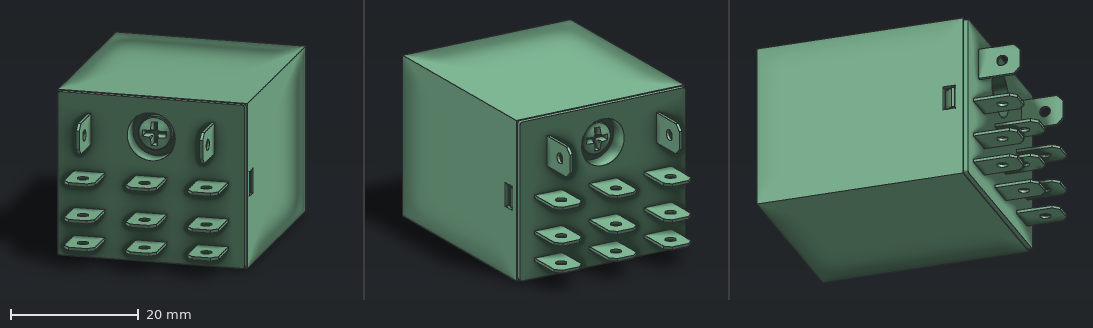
import cadquery as cq
import math


total_length = 41.9
cover_width = 30.8
cover_height = 26.8
blade_length = 6.9
flange_thickness = 0.75
flange_side_inset = 0.25
flange_top_inset = 0.13
flange_corner_radius = 0.4
cover_back = total_length - blade_length

blade_width = 5.03
blade_thickness = 0.5
blade_chamfer = 1.0
blade_hole_diameter = 1.7
blade_hole_from_tip = 3.0
blade_root = 0.4
column_spacing = 10.0
flat_row_heights = (0.38, -5.6, -10.15)
upright_blade_height = 7.6

screw_height = 7.05
recess_diameter = 7.8
recess_depth = 3.2
head_diameter = 5.5
head_rim_depth = 2.18
head_bevel = 0.15
dome_rise = 0.63
cross_length = 4.0
cross_width = 1.1
cross_floor_length = 3.35
cross_depth = 1.45
cross_corner_bevel = 0.25

window_start = 2.05
window_length = 2.05
window_height = 3.95
window_depth = 1.0
catch_height = 3.3
catch_gap = 0.13
catch_flat = 0.55
catch_below_surface = 0.1


def make_housing():
    cover = cq.Workplane("XY").box(cover_width, cover_back - flange_thickness, cover_height)
    cover = cover.translate((0, (cover_back + flange_thickness) / 2, 0))
    flange = (
        cq.Workplane("XY")
        .box(
            cover_width - 2 * flange_side_inset,
            flange_thickness,
            cover_height - 2 * flange_top_inset,
        )
        .edges("|Y")
        .fillet(flange_corner_radius)
        .translate((0, flange_thickness / 2, 0))
    )
    return cover.union(flange)


def make_blade():
    """Horizontal blade centred on the Y axis, with its root inside the base."""
    half_width = blade_width / 2
    tip_half_width = half_width - blade_chamfer
    shoulder = blade_chamfer - blade_length
    outline = [
        (-half_width, blade_root),
        (-half_width, shoulder),
        (-tip_half_width, -blade_length),
        (tip_half_width, -blade_length),
        (half_width, shoulder),
        (half_width, blade_root),
    ]
    blade = cq.Workplane("XY").polyline(outline).close().extrude(blade_thickness / 2, both=True)
    hole = (
        cq.Workplane("XY")
        .center(0, blade_hole_from_tip - blade_length)
        .circle(blade_hole_diameter / 2)
        .extrude(blade_thickness, both=True)
    )
    return blade.cut(hole)


def make_recess():
    recess = cq.Workplane("XZ").circle(recess_diameter / 2).extrude(-recess_depth)
    return recess.translate((0, 0, screw_height))


def taper_angle(mouth_size, floor_size):
    """Wall taper, in degrees, that narrows a slot of the cross depth from mouth to floor."""
    return math.degrees(math.atan((mouth_size - floor_size) / 2 / cross_depth))


def make_cross_slot():
    """Tapered cross with its mouth at Y = 0, and bevels that fade out at the floor."""
    cross = (
        cq.Workplane("XZ")
        .sketch()
        .rect(cross_length, cross_width)
        .rect(cross_width, cross_length)
        .clean()
        .finalize()
        .extrude(-cross_depth, taper=taper_angle(cross_length, cross_floor_length))
    )
    cross_floor_width = cross_width - (cross_length - cross_floor_length)
    square_size = math.sqrt(2) * (cross_width + cross_corner_bevel)
    square_floor_size = math.sqrt(2) * cross_floor_width
    bevels = (
        cq.Workplane("XZ")
        .rect(square_size, square_size)
        .extrude(-cross_depth, taper=taper_angle(square_size, square_floor_size))
        .rotate((0, 0, 0), (0, 1, 0), 45)
    )
    return cross.union(bevels)


def make_screw():
    """Domed screw head standing on the recess floor, with a tapered cross slot."""
    radius = head_diameter / 2
    dome_radius = radius - head_bevel
    bevel_top = head_rim_depth - head_bevel
    dome_top = bevel_top - dome_rise
    sphere_radius = (dome_radius**2 + dome_rise**2) / (2 * dome_rise)
    half_angle = math.asin(dome_radius / sphere_radius) / 2
    dome_middle = (
        sphere_radius * math.sin(half_angle),
        dome_top + sphere_radius * (1 - math.cos(half_angle)),
    )
    head = (
        cq.Workplane("XY")
        .moveTo(0, recess_depth)
        .lineTo(radius, recess_depth)
        .lineTo(radius, head_rim_depth)
        .lineTo(dome_radius, bevel_top)
        .threePointArc(dome_middle, (0, dome_top))
        .close()
        .revolve(360, (0, 0), (0, 1))
    )
    slot = make_cross_slot().translate((0, dome_top, 0))
    return head.cut(slot).translate((0, 0, screw_height))


def make_window():
    """Volume to remove from the -X wall so that the catch is left standing."""
    outer = -cover_width / 2
    floor = outer + window_depth
    catch_top = outer + catch_below_surface
    catch_end = window_start + window_length - catch_gap
    catch_start = window_start + catch_gap
    pocket = cq.Workplane("XY").box(window_depth, window_length, window_height)
    pocket = pocket.translate((outer + window_depth / 2, window_start + window_length / 2, 0))
    catch_profile = [
        (floor, catch_start),
        (catch_top, catch_start),
        (catch_top, catch_start + catch_flat),
        (floor, catch_end),
    ]
    catch = cq.Workplane("XY").polyline(catch_profile).close().extrude(catch_height / 2, both=True)
    return pocket.cut(catch)


result = make_housing().cut(make_recess()).union(make_screw())

window = make_window()
result = result.cut(window).cut(window.mirror("YZ"))

flat_blade = make_blade()
for column in (-1, 0, 1):
    for row_height in flat_row_heights:
        result = result.union(flat_blade.translate((column * column_spacing, 0, row_height)))

upright_blade = flat_blade.rotate((0, 0, 0), (0, 1, 0), 90)
for side in (-1, 1):
    result = result.union(upright_blade.translate((side * column_spacing, 0, upright_blade_height)))